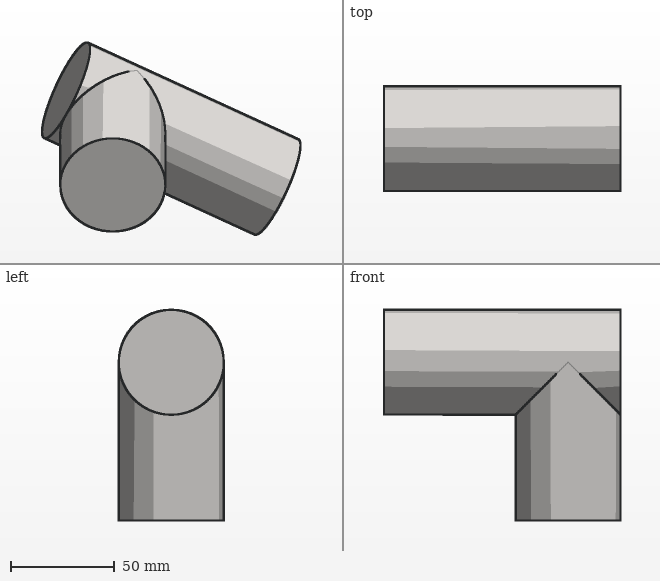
import cadquery as cq

bar_diameter = 50.7
bar_length = 114.3
total_height = 101.8
seam_angle = 90.0

bar_radius = bar_diameter / 2
axis_height = total_height - bar_radius
leg_center_x = bar_length - bar_radius

bar = (
    cq.Workplane("YZ")
    .circle(bar_radius)
    .extrude(bar_length)
    .rotate((0, 0, 0), (1, 0, 0), seam_angle)
    .translate((0, 0, axis_height))
)

leg = (
    cq.Workplane("XY")
    .center(leg_center_x, 0)
    .circle(bar_radius)
    .extrude(axis_height)
)

result = bar.union(leg)